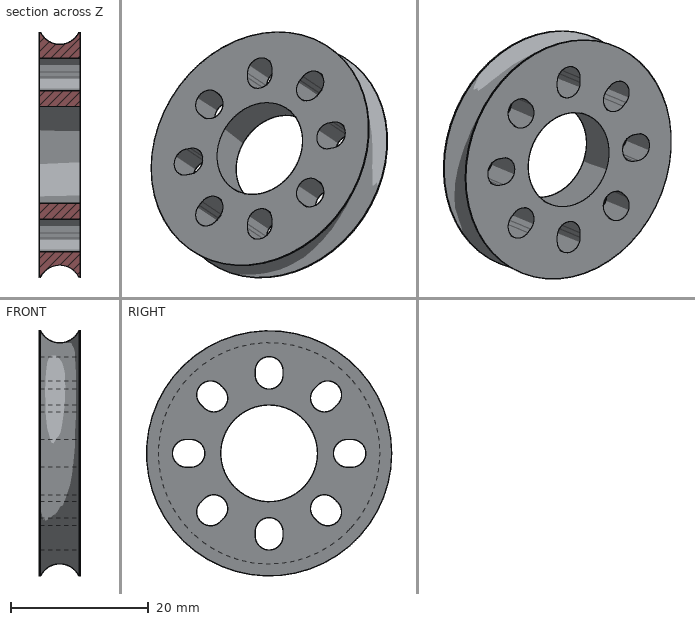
import cadquery as cq

outer_diameter = 35.6
width = 6.0
bore_diameter = 14.0

rim_land = 0.25
groove_depth = 1.75

slot_count = 8
slot_width = 4.0
slot_length = 4.65
slot_circle_radius = 11.68

outer_radius = outer_diameter / 2
bore_radius = bore_diameter / 2
half_width = width / 2
groove_half_width = half_width - rim_land


def wheel_body():
    """Revolve the half section, bore to grooved rim, about the X axis."""
    section = (
        cq.Workplane("XY")
        .moveTo(-half_width, bore_radius)
        .lineTo(-half_width, outer_radius)
        .lineTo(-groove_half_width, outer_radius)
        .threePointArc((0, outer_radius - groove_depth), (groove_half_width, outer_radius))
        .lineTo(half_width, outer_radius)
        .lineTo(half_width, bore_radius)
        .close()
    )
    return section.revolve(360, (0, 0, 0), (1, 0, 0))


def slot_cutters():
    """Through slots whose long axes point at the wheel centre."""
    return (
        cq.Workplane("YZ", origin=(-half_width, 0, 0))
        .polarArray(slot_circle_radius, 0, 360, slot_count)
        .slot2D(slot_length, slot_width)
        .extrude(width)
    )


result = wheel_body().cut(slot_cutters())